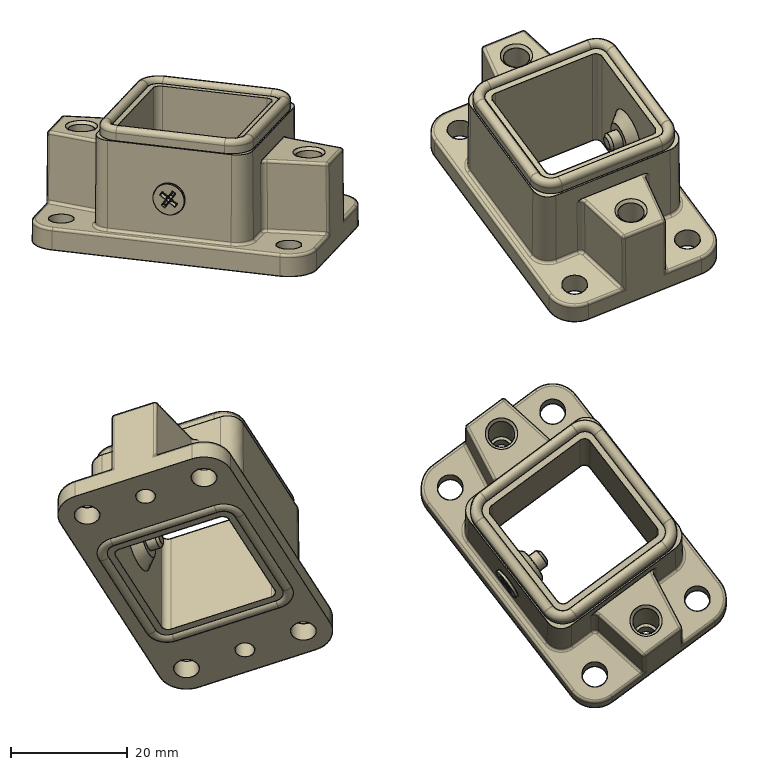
import cadquery as cq
import math

PLATE_LENGTH = 51.0
PLATE_WIDTH = 32.0
PLATE_THICKNESS = 4.0
PLATE_CORNER = 5.0
DRAFT = 0.5
EDGE_ROUND = 0.5

WALL_BASE_SIZE = 28.4
WALL_TOP = 20.4
WALL_CORNER = 3.05

RIM_SIZE = 27.5
RIM_TOP = 22.8
RIM_CORNER = 4.0
BEAD_WIDTH = 2.0
CAVITY_SIZE = 21.3
CAVITY_CORNER = 1.2
SKIRT_DEPTH = 0.5

LUG_TOP = 17.0
LUG_END_WIDTH = 8.25
LUG_FLARE = 10.0
LUG_ROOT = 1.0

MOUNT_HOLE = 4.4
LUG_HOLE = 3.35
LUG_BORE = 4.5
LUG_BORE_CHAMFER = 0.5

SCREW_HEIGHT = 11.1
SCREW_HEAD = 5.6
SCREW_SHANK = 3.2
SCREW_FRONT = 14.6
SCREW_SEAT = 14.0
SCREW_REACH = 4.25
SCREW_TIP_CHAMFER = 0.5
CROSS_SPAN = 3.35
CROSS_SLOT = 0.75
CROSS_DEPTH = 0.75
CROSS_TAPER = 15.0
CROSS_TURN = 54.6

BOSS_BASE = 9.35
BOSS_END = 5.55
BOSS_HEIGHT = 1.9

HOLE_X = PLATE_LENGTH / 2 - PLATE_CORNER
HOLE_Y = PLATE_WIDTH / 2 - PLATE_CORNER
BEAD_RADIUS = BEAD_WIDTH / 2
BEAD_INNER_SIZE = RIM_SIZE - 2 * BEAD_WIDTH
BEAD_INNER_CORNER = RIM_CORNER - BEAD_WIDTH
LEDGE_HEIGHT = RIM_TOP - BEAD_RADIUS
CAVITY_HALF = CAVITY_SIZE / 2
END = PLATE_LENGTH / 2
FLAT = 0.025


def square_prism(size, corner, bottom, top):
    """Upright square prism with rounded vertical edges, centred on Z."""
    return (
        cq.Workplane("XY", origin=(0, 0, bottom))
        .rect(size, size)
        .extrude(top - bottom)
        .edges("|Z")
        .fillet(corner)
    )


def rod_along_y(diameter, start, length):
    """Cylinder on the screw axis, running towards +Y from y = start."""
    return (
        cq.Workplane("XZ", origin=(0, start, SCREW_HEIGHT))
        .circle(diameter / 2)
        .extrude(-length)
    )


def fillet_where(body, radius, is_wanted):
    """Fillet every edge whose centre point and bounding box satisfy is_wanted."""
    wanted = [edge for edge in body.edges().vals() if is_wanted(edge.Center(), edge.BoundingBox())]
    return body.newObject(wanted).fillet(radius)


def is_lug_root(center, box):
    """Upright corner between a lug side and the tower wall."""
    upright = box.zlen > LUG_TOP - FLAT
    beside_tower = WALL_BASE_SIZE / 2 - LUG_ROOT < abs(center.x) < WALL_BASE_SIZE / 2
    return upright and beside_tower and abs(center.y) < WALL_BASE_SIZE / 2 - WALL_CORNER


def is_lug_corner(center, box):
    """Upright corner at the outer end of a lug."""
    return box.zlen > LUG_TOP - FLAT and abs(center.x) > HOLE_X


def is_plate_root(center, box):
    """Flat edge where the tower or a lug meets the top of the plate."""
    on_plate_top = abs(center.z - PLATE_THICKNESS) < FLAT and box.zlen < FLAT
    inside_length = abs(center.x) < END - EDGE_ROUND - FLAT
    return on_plate_top and inside_length and abs(center.y) < PLATE_WIDTH / 2 - 2 * EDGE_ROUND


def drafted_block(length, width, corner, height):
    """Rounded rectangular block on the XY plane, narrowing upwards by the casting draft."""
    plan = cq.Sketch().rect(length, width).vertices().fillet(corner)
    return cq.Workplane("XY").placeSketch(plan).extrude(height, taper=DRAFT)


def make_plate():
    plate = drafted_block(PLATE_LENGTH, PLATE_WIDTH, PLATE_CORNER, PLATE_THICKNESS)
    return plate.faces(">Z").edges().fillet(EDGE_ROUND)


def make_tower(height):
    return drafted_block(WALL_BASE_SIZE, WALL_BASE_SIZE, WALL_CORNER, height)


def make_lug_bar():
    """Bar across the plate whose two ends are flared lugs with a drafted end face."""
    half_end = LUG_END_WIDTH / 2
    half_root = half_end + END * math.tan(math.radians(LUG_FLARE))
    inset = LUG_TOP * math.tan(math.radians(DRAFT))
    plan = (
        cq.Workplane("XY")
        .polyline([
            (-END, -half_end), (0, -half_root), (END, -half_end),
            (END, half_end), (0, half_root), (-END, half_end),
        ])
        .close()
        .extrude(LUG_TOP)
    )
    elevation = (
        cq.Workplane("XZ")
        .polyline([(-END, 0), (END, 0), (END - inset, LUG_TOP), (inset - END, LUG_TOP)])
        .close()
        .extrude(PLATE_WIDTH / 2, both=True)
    )
    return plan.intersect(elevation)


def make_lugs():
    """Lug bar with rounded outer corners, flared into the lower part of the tower."""
    lugs = make_tower(LUG_TOP).union(make_lug_bar())
    lugs = fillet_where(lugs, LUG_ROOT, is_lug_root)
    lugs = fillet_where(lugs, EDGE_ROUND, is_lug_corner)
    return lugs.faces(">Z").edges().fillet(EDGE_ROUND)


def bead_ring(crown, base):
    """Square ring with a half-round crown at height crown and a flat foot at height base."""
    facing = math.copysign(1, crown - base)
    shoulder = crown - facing * BEAD_RADIUS
    inner = BEAD_INNER_SIZE / 2
    outer = RIM_SIZE / 2
    section = (
        cq.Workplane("XZ")
        .moveTo(inner, base)
        .lineTo(inner, shoulder)
        .threePointArc((inner + BEAD_RADIUS, crown), (outer, shoulder))
        .lineTo(outer, base)
        .close()
    )
    path_half = inner + BEAD_RADIUS
    corner = RIM_CORNER - BEAD_RADIUS
    straight = path_half - corner
    bulge = straight + corner * math.sqrt(0.5)
    path = (
        cq.Workplane("XY", origin=(0, 0, base))
        .moveTo(path_half, 0)
        .lineTo(path_half, straight)
        .threePointArc((bulge, bulge), (straight, path_half))
        .lineTo(-straight, path_half)
        .threePointArc((-bulge, bulge), (-path_half, straight))
        .lineTo(-path_half, -straight)
        .threePointArc((-bulge, -bulge), (-straight, -path_half))
        .lineTo(straight, -path_half)
        .threePointArc((bulge, -bulge), (path_half, -straight))
        .close()
    )
    return section.sweep(path)


def make_boss():
    """Conical boss on the inner face of the -Y wall, around the screw."""
    return (
        cq.Workplane("XZ", origin=(0, -CAVITY_HALF, SCREW_HEIGHT))
        .circle(BOSS_BASE / 2)
        .workplane(offset=-BOSS_HEIGHT)
        .circle(BOSS_END / 2)
        .loft()
    )


def cut_mount_holes(body):
    corners = [(x, y) for x in (-HOLE_X, HOLE_X) for y in (-HOLE_Y, HOLE_Y)]
    drills = cq.Workplane("XY").pushPoints(corners).circle(MOUNT_HOLE / 2).extrude(PLATE_THICKNESS)
    return body.cut(drills)


def cut_lug_holes(body):
    """Through hole in each lug, with a wider chamfered bore down to the plate."""
    bore_radius = LUG_BORE / 2
    profile = (
        cq.Workplane("XZ")
        .polyline([
            (0, 0),
            (LUG_HOLE / 2, 0),
            (LUG_HOLE / 2, PLATE_THICKNESS),
            (bore_radius, PLATE_THICKNESS),
            (bore_radius, LUG_TOP - LUG_BORE_CHAMFER),
            (bore_radius + LUG_BORE_CHAMFER, LUG_TOP),
            (0, LUG_TOP),
        ])
        .close()
    )
    drill = profile.revolve()
    for x in (-HOLE_X, HOLE_X):
        body = body.cut(drill.translate((x, 0, 0)))
    return body


def cut_screw_hole(body):
    spotface = rod_along_y(SCREW_HEAD, -SCREW_FRONT, SCREW_FRONT - SCREW_SEAT)
    clearance = rod_along_y(SCREW_SHANK, -SCREW_SEAT, SCREW_SEAT)
    return body.cut(spotface).cut(clearance)


def make_housing():
    body = make_plate().union(make_lugs()).union(make_tower(WALL_TOP))
    body = fillet_where(body, EDGE_ROUND, is_plate_root)
    body = body.union(square_prism(BEAD_INNER_SIZE, BEAD_INNER_CORNER, PLATE_THICKNESS, LEDGE_HEIGHT))
    body = body.union(bead_ring(RIM_TOP, WALL_TOP))
    body = body.union(bead_ring(-SKIRT_DEPTH, PLATE_THICKNESS / 2))
    body = body.cut(square_prism(CAVITY_SIZE, CAVITY_CORNER, -SKIRT_DEPTH, RIM_TOP))
    body = body.union(make_boss())
    body = cut_mount_holes(body)
    body = cut_lug_holes(body)
    return cut_screw_hole(body)


def make_screw():
    """Cross-recess screw through the -Y wall and its boss."""
    head = rod_along_y(SCREW_HEAD, -SCREW_FRONT, SCREW_FRONT - SCREW_SEAT)
    shank = rod_along_y(SCREW_SHANK, -SCREW_SEAT, SCREW_SEAT - CAVITY_HALF + SCREW_REACH)
    shank = shank.faces(">Y").chamfer(SCREW_TIP_CHAMFER)
    inward = cq.Plane(origin=(0, -SCREW_FRONT, SCREW_HEIGHT), xDir=(1, 0, 0), normal=(0, 1, 0))
    recess = (
        cq.Workplane(inward)
        .sketch()
        .rect(CROSS_SPAN, CROSS_SLOT, angle=-CROSS_TURN)
        .rect(CROSS_SPAN, CROSS_SLOT, angle=90 - CROSS_TURN)
        .finalize()
        .extrude(CROSS_DEPTH, taper=CROSS_TAPER)
    )
    return head.union(shank).cut(recess)


housing = make_housing()
screw = make_screw()

result = cq.Compound.makeCompound([housing.val(), screw.val()])